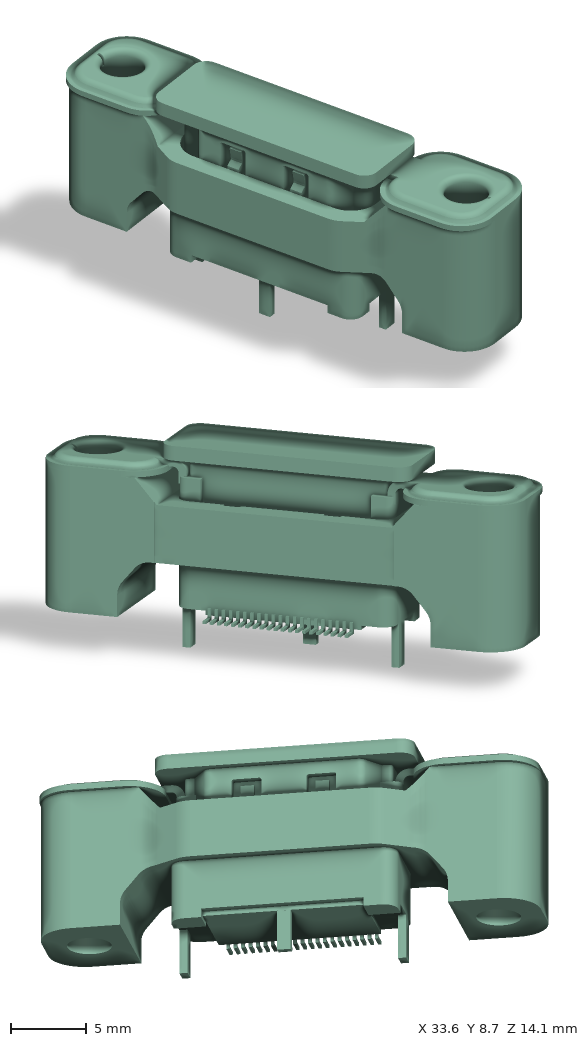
import cadquery as cq

SIDES = (-1, 1)

half_length = 16.8
post_back = 3.84
post_front = -3.45
post_corner = 2.45
post_top = 9.62
post_inner = 11.03
frame_bottom = 3.94
frame_top = 7.9
frame_front = -4.86
frame_back = 3.78
frame_back_half = 8.44
flare_outer = 9.0
flare_inner = 6.56
flare_fillet = 1.9
slope_foot = 8.26
slope_head = 9.8
arch_width = 1.65
arch_height = 1.92
arch_fillet = 1.4
hole_x = 13.77
hole_y = 0.05
hole_radius = 1.49

opening_front = -3.55
opening_front_corner = 2.0
opening_back = 2.12
opening_back_corner = 1.0

block_half = 7.63
block_front = -4.06
block_back = 2.04
block_corner = 1.0
block_top = frame_bottom
foot_bottom = -0.1
foot_depth = 1.77
recess_half = 5.46
recess_top = 0.5
recess_depth = 0.6
block_bottom = 0.2

socket_top = 10.55
socket_half = 7.0
socket_back = 1.1
socket_front = -3.45
socket_shoulder = -1.95
shoulder_half = 6.3
nose_half = 5.25
socket_corner = 0.25
nose_fillet = 0.6

collar_top = 9.31
collar_front = -2.1
collar_back = 1.6
collar_corner = 0.6
collar_inner = 6.0

ear_inner = 8.35
ear_front = -3.84
lip_height = 0.4
emboss_height = 0.41
emboss_inset = 0.35
emboss_slope = 0.7
emboss_foot_width = 0.25
emboss_foot_height = 0.18
emboss_foot_radius = 0.35
emboss_crest_radius = 0.6
rim_fillet = 0.45
sleeve_bottom = 9.1
sleeve_radius = hole_radius + lip_height
rim_slot_width = 0.25
neck_half = 1.32
sheet = 0.5
bend_radius = 0.9

leg_bottom = -2.55
leg_top = 1.0
leg_wall = 0.55
side_leg_width = 1.0
side_leg_y = 0.1
front_leg_width = 0.9

tail_count = 21
tail_pitch = 0.5
tail_width = 0.22
tail_first = -4.85
tail_end = 3.18
tail_thickness = 0.2
tail_riser_top = 0.7

window_x = 2.52
window_width = 2.0
window_top = 9.7
window_bottom = 6.5
window_depth = 0.6
window_corner = 0.15
spring_width = 0.9
spring_root = 0.1
spring_tip_top = 9.3
spring_tip_depth = 0.25
spring_dip_depth = 0.4
spring_dip_top = 8.5
spring_dip_bottom = 8.35
spring_bump_top = 8.05

relief_x = 3.54
relief_width = 1.2
relief_depth = 0.26

cover_half = 8.73
cover_front = -4.07
cover_back = 2.04
cover_corner = 1.0
cover_thickness = 1.0


def block(x_min, x_max, y_min, y_max, z_min, z_max):
    size = (x_max - x_min, y_max - y_min, z_max - z_min)
    return cq.Workplane("XY").box(*size, centered=False).translate((x_min, y_min, z_min))


def rounded_block(x_min, x_max, y_min, y_max, z_min, z_max, corner):
    return block(x_min, x_max, y_min, y_max, z_min, z_max).edges("|Z").fillet(corner)


def cylinder(x, radius, z_min, z_max):
    return cq.Workplane("XY", origin=(x, hole_y, z_min)).circle(radius).extrude(z_max - z_min)


def both_sides(shape):
    """The shape on the -X side together with its mirror image on the +X side."""
    return shape.union(shape.mirror("YZ"))


def front_prism(points):
    """Prism through the whole depth of the part from an outline in X and Z."""
    depth = 2 * half_length
    return cq.Workplane("XZ").polyline(points).close().extrude(depth / 2, both=True)


def bracket_plan():
    points = [
        (-half_length, post_back),
        (-half_length, post_front),
        (-flare_outer, post_front),
        (-flare_inner, frame_front),
        (flare_inner, frame_front),
        (flare_outer, post_front),
        (half_length, post_front),
        (half_length, post_back),
    ]
    plan = cq.Workplane("XY").polyline(points).close().extrude(post_top)
    plan = plan.edges("|Z and (<X or >X)").fillet(post_corner)
    flare_corners = cq.selectors.BoxSelector(
        (-flare_outer - flare_fillet, frame_front - flare_fillet, 0),
        (flare_outer + flare_fillet, post_front + flare_fillet, post_top),
    )
    return plan.edges("|Z").edges(flare_corners).fillet(flare_fillet)


def space_above_frame():
    above = post_top + (post_top - frame_top)
    rise = (slope_head - slope_foot) / (post_top - frame_top) * (above - frame_top)
    return front_prism(
        [
            (-slope_foot, frame_top),
            (slope_foot, frame_top),
            (slope_foot + rise, above),
            (-slope_foot - rise, above),
        ]
    )


def space_below_frame():
    shoulder = post_inner - arch_width
    arch = front_prism(
        [
            (-post_inner, 0),
            (-post_inner, frame_bottom - arch_height),
            (-shoulder, frame_bottom),
            (shoulder, frame_bottom),
            (post_inner, frame_bottom - arch_height),
            (post_inner, 0),
        ]
    )
    return arch.edges("|Y").edges("not <Z").fillet(arch_fillet)


def connector_opening():
    opening = block(-block_half, block_half, opening_front, opening_back, 0, post_top)
    opening = opening.edges("|Z and <Y").fillet(opening_front_corner)
    return opening.edges("|Z and >Y").fillet(opening_back_corner)


def make_bracket():
    body = bracket_plan().cut(space_above_frame()).cut(space_below_frame())
    body = body.cut(block(-frame_back_half, frame_back_half, frame_back, post_back, 0, post_top))
    body = body.cut(connector_opening())
    for side in SIDES:
        x = side * relief_x
        half = relief_width / 2
        body = body.cut(block(x - half, x + half, 0, opening_back + relief_depth, 0, post_top))
        body = body.cut(cylinder(side * hole_x, hole_radius, 0, post_top))
        body = body.cut(cylinder(side * hole_x, sleeve_radius, sleeve_bottom, post_top))
    return body


def insulator():
    body = rounded_block(
        -block_half, block_half, block_front, block_back, foot_bottom, block_top, block_corner
    )
    foot_back = block_front + foot_depth
    behind_foot = block(-block_half, -recess_half, foot_back, block_back, foot_bottom, recess_top)
    body = body.cut(both_sides(behind_foot))
    body = body.cut(block(-recess_half, recess_half, block_front, block_back, foot_bottom, block_bottom))
    recess_back = block_front + recess_depth
    return body.cut(
        block(-recess_half, recess_half, block_front, recess_back, foot_bottom, recess_top)
    )


def socket():
    points = [
        (-socket_half, socket_back),
        (-socket_half, socket_shoulder),
        (-shoulder_half, socket_shoulder),
        (-nose_half, socket_front),
        (nose_half, socket_front),
        (shoulder_half, socket_shoulder),
        (socket_half, socket_shoulder),
        (socket_half, socket_back),
    ]
    height = socket_top - block_top
    body = cq.Workplane("XY", origin=(0, 0, block_top)).polyline(points).close().extrude(height)
    body = body.edges("|Z and (<X or >X)").fillet(socket_corner)
    nose = cq.selectors.BoxSelector(
        (-shoulder_half, socket_front - nose_fillet, block_top),
        (shoulder_half, socket_front + nose_fillet, socket_top),
    )
    body = body.edges("|Z").edges(nose).fillet(nose_fillet)
    for side in SIDES:
        body = body.cut(spring_window(side * window_x)).union(spring(side * window_x))
    return body


def spring_window(x):
    half = window_width / 2
    window = block(
        x - half, x + half, socket_front, socket_front + window_depth, window_bottom, window_top
    )
    return window.edges("|Y and >Z").fillet(window_corner)


def spring(x):
    """Contact spring: a dip separates the outward-leaning tip from a bump with a sloped top."""
    root = socket_front + window_depth + spring_root
    points = [
        (root, window_bottom),
        (socket_front, window_bottom),
        (socket_front, spring_bump_top),
        (socket_front + spring_dip_depth, spring_dip_bottom),
        (socket_front + spring_dip_depth, spring_dip_top),
        (socket_front + spring_tip_depth, spring_tip_top),
        (root, spring_tip_top),
    ]
    profile = cq.Workplane("YZ", origin=(x - spring_width / 2, 0, 0)).polyline(points).close()
    return profile.extrude(spring_width)


def collar_end():
    body = block(-block_half, -collar_inner, collar_front, collar_back, block_top, collar_top)
    return body.edges("|Z and <X").fillet(collar_corner)


def ear():
    """Cap on a post: a lip, a raised top, a sleeve in the hole and a neck that bends down into the collar."""
    lip_top = post_top + lip_height
    top = lip_top + emboss_height
    body = rounded_block(
        -half_length, -ear_inner, ear_front, post_back, post_top, lip_top, post_corner
    )
    raised = raised_top(lip_top)
    body = body.union(raised).union(neck(top))
    body = body.union(cylinder(-hole_x, sleeve_radius, sleeve_bottom, post_top))
    body = body.cut(cylinder(-hole_x, hole_radius, sleeve_bottom, top))
    rim = cq.selectors.BoxSelector(
        (-hole_x - sleeve_radius, -sleeve_radius, lip_top),
        (-hole_x + sleeve_radius, sleeve_radius, top + lip_height),
    )
    body = body.edges("%CIRCLE").edges(rim).fillet(rim_fillet)
    slot_end = hole_x + hole_radius + rim_fillet
    half = rim_slot_width / 2
    return body.cut(block(-slot_end, -hole_x, -half, half, post_top, top))


def raised_top(lip_top):
    """Embossed top of the ear, with a flank that is hollow at its foot and rounded above."""
    x_min = -half_length + emboss_inset
    x_max = -ear_inner - emboss_inset
    y_min = ear_front + emboss_inset
    y_max = post_back - emboss_inset
    corner = post_corner - emboss_inset
    core = rounded_block(
        x_min + emboss_slope,
        x_max - emboss_slope,
        y_min + emboss_slope,
        y_max - emboss_slope,
        lip_top,
        lip_top + emboss_height,
        corner - emboss_slope,
    )
    path = rounded_block(x_min, x_max, y_min, y_max, post_top, lip_top, corner).faces(">Z").wires()
    flank = (
        cq.Workplane("XZ", origin=(x_min, (y_min + y_max) / 2, lip_top))
        .radiusArc((emboss_foot_width, emboss_foot_height), -emboss_foot_radius)
        .radiusArc((emboss_slope, emboss_height), emboss_crest_radius)
        .lineTo(emboss_slope, 0)
        .close()
        .sweep(path)
    )
    return core.union(flank)


def neck(top):
    wall_inner = -block_half + leg_wall
    start = -ear_inner - emboss_inset - emboss_slope
    inner_radius = bend_radius - sheet
    profile = (
        cq.Workplane("XZ")
        .moveTo(start, top)
        .lineTo(wall_inner - bend_radius, top)
        .radiusArc((wall_inner, top - bend_radius), bend_radius)
        .lineTo(wall_inner, collar_top - sheet)
        .lineTo(-block_half, collar_top - sheet)
        .lineTo(-block_half, top - bend_radius)
        .radiusArc((-block_half - inner_radius, top - sheet), -inner_radius)
        .lineTo(start, top - sheet)
        .close()
    )
    return profile.extrude(neck_half, both=True)


def side_leg():
    half = side_leg_width / 2
    return block(
        -block_half, -block_half + leg_wall, side_leg_y - half, side_leg_y + half, leg_bottom, leg_top
    )


def front_leg():
    half = front_leg_width / 2
    return block(-half, half, socket_front, socket_front + sheet, leg_bottom, leg_top)


def tail(x):
    """L-shaped solder tail behind the insulator."""
    left = x - tail_width / 2
    right = x + tail_width / 2
    foot = block(left, right, block_back, tail_end, foot_bottom, foot_bottom + tail_thickness)
    riser = block(left, right, block_back, block_back + tail_thickness, foot_bottom, tail_riser_top)
    return foot.union(riser)


def make_connector():
    body = insulator().union(socket())
    body = body.union(both_sides(collar_end())).union(both_sides(ear()))
    body = body.union(both_sides(side_leg())).union(front_leg())
    for number in range(tail_count):
        body = body.union(tail(tail_first + number * tail_pitch))
    return body


def make_cover():
    return rounded_block(
        -cover_half,
        cover_half,
        cover_front,
        cover_back,
        socket_top,
        socket_top + cover_thickness,
        cover_corner,
    )


bracket = make_bracket()
connector = make_connector()
cover = make_cover()

result = cq.Compound.makeCompound([bracket.val(), connector.val(), cover.val()])